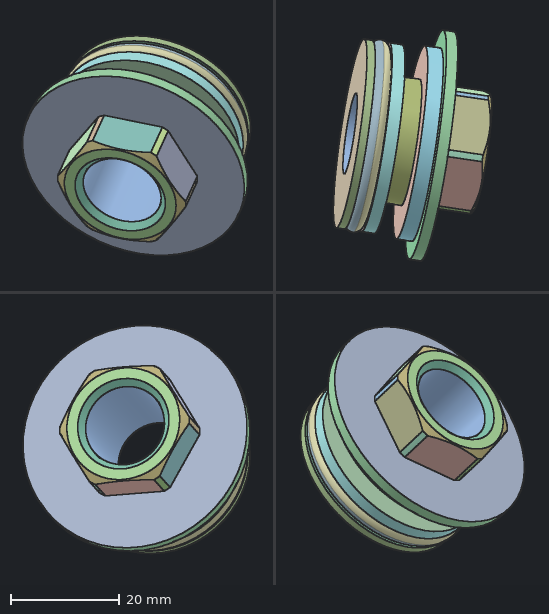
import cadquery as cq
import math

flange_diameter = 42.8
flange_thickness = 2.15
collar_diameter = 36.1
collar_length = 2.9
neck_diameter = 23.55
neck_length = 4.15
disc_diameter = 35.25
inner_disc_thickness = 2.45
outer_disc_thickness = 1.55
ring_section_diameter = 3.15
ring_outer_diameter = 35.95
groove_floor_diameter = 31.2

hex_length = 8.25
hex_across_flats = 22.0
hex_corner_diameter = 24.7
hex_face_diameter = 21.53
hex_chamfer_angle = 30.0

bore_diameter = 15.02
bore_mouth_diameter = 17.4


def cylinder(diameter, start, length):
    """Solid cylinder along +Y from Y = start."""
    axis_direction = cq.Vector(0, 1, 0)
    solid = cq.Solid.makeCylinder(diameter / 2, length, cq.Vector(0, start, 0), axis_direction)
    return cq.Workplane(obj=solid)


def turned_body():
    """Stack of coaxial steps from the flange to the back disc."""
    steps = [
        (flange_diameter, flange_thickness),
        (collar_diameter, collar_length),
        (neck_diameter, neck_length),
        (disc_diameter, inner_disc_thickness),
        (groove_floor_diameter, ring_section_diameter),
        (disc_diameter, outer_disc_thickness),
    ]
    body = cq.Workplane()
    start = 0.0
    for diameter, length in steps:
        body = body.add(cylinder(diameter, start, length))
        start += length
    return body.combine(), start


def seal_ring(back_face):
    """O-ring seated between the two discs."""
    section_radius = ring_section_diameter / 2
    center_y = back_face - outer_disc_thickness - section_radius
    center_radius = ring_outer_diameter / 2 - section_radius
    return (
        cq.Workplane("XY")
        .center(center_radius, center_y)
        .circle(section_radius)
        .revolve(360, (-center_radius, 0), (-center_radius, 1))
    )


def hex_head():
    """Hexagon with flats facing +Z and -Z, rounded corners and a conical front chamfer."""
    across_corners = hex_across_flats / math.cos(math.pi / 6)
    prism = cq.Workplane("XZ").polygon(6, across_corners).extrude(hex_length)
    corner_radius = hex_corner_diameter / 2
    face_radius = hex_face_diameter / 2
    chamfer_depth = (corner_radius - face_radius) * math.tan(math.radians(hex_chamfer_angle))
    envelope = (
        cq.Workplane("XY")
        .polyline([
            (0, 0),
            (corner_radius, 0),
            (corner_radius, chamfer_depth - hex_length),
            (face_radius, -hex_length),
            (0, -hex_length),
        ])
        .close()
        .revolve(360, (0, 0), (0, 1))
    )
    return prism.intersect(envelope)


def bore(back_face):
    """Through bore with a 45 degree countersink at the hex face."""
    through = cylinder(bore_diameter, -hex_length, hex_length + back_face)
    mouth_depth = (bore_mouth_diameter - bore_diameter) / 2
    mouth = cq.Solid.makeCone(
        bore_mouth_diameter / 2,
        bore_diameter / 2,
        mouth_depth,
        cq.Vector(0, -hex_length, 0),
        cq.Vector(0, 1, 0),
    )
    return through.union(cq.Workplane(obj=mouth))


body, back_face = turned_body()
result = body.union(seal_ring(back_face)).union(hex_head()).cut(bore(back_face))